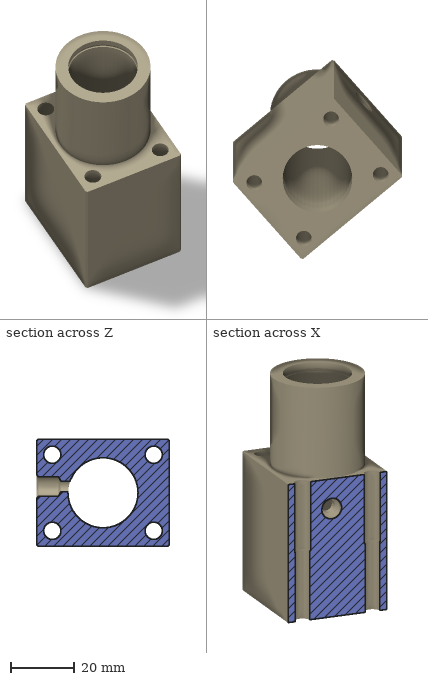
import cadquery as cq
import math

body_length = 42.0
body_width = 34.0
body_height = 46.0
corner_chamfer = 0.5

total_height = 76.0
tube_diameter = 30.0
bore_diameter = 22.0

groove_diameter = 23.0
groove_width = 1.1
groove_depth_below_rim = 2.0

mount_spacing_x = 32.0
mount_spacing_y = 24.0
mount_upper_diameter = 5.3
mount_lower_diameter = 4.95
mount_upper_depth = body_height / 2

port_y = 2.0
port_z = 36.0
port_mouth_diameter = 8.0
port_diameter = 6.6
port_passage_diameter = 4.3
port_depth = 7.0
port_mouth_chamfer = (port_mouth_diameter - port_diameter) / 2
port_cone_angle = 120.0
port_cone_length = (port_diameter - port_passage_diameter) / 2 / math.tan(math.radians(port_cone_angle / 2))


def make_housing():
    """Body with chamfered upright corners and the tube on top."""
    body = cq.Workplane("XY").box(body_length, body_width, body_height, centered=(True, True, False))
    body = body.edges("|Z").chamfer(corner_chamfer)
    tube = cq.Workplane("XY").circle(tube_diameter / 2).extrude(total_height)
    return body.union(tube)


def make_bore():
    """Through bore with the ring groove near the rim."""
    bore = cq.Workplane("XY").circle(bore_diameter / 2).extrude(total_height)
    groove_bottom = total_height - groove_depth_below_rim - groove_width
    groove = cq.Workplane("XY", origin=(0, 0, groove_bottom)).circle(groove_diameter / 2).extrude(groove_width)
    return bore.union(groove)


def make_mount_holes():
    """Stepped through holes, wider in the upper part of the body."""
    centres = cq.Workplane("XY").rect(mount_spacing_x, mount_spacing_y, forConstruction=True).vertices()
    lower = centres.circle(mount_lower_diameter / 2).extrude(body_height)
    upper = centres.circle(mount_upper_diameter / 2).extrude(mount_upper_depth)
    return lower.union(upper.translate((0, 0, body_height - mount_upper_depth)))


def make_port():
    """Port turned about its own axis: chamfer, straight bore, cone and passage ending on the part axis."""
    passage_end = body_length / 2
    return (
        cq.Workplane("XY")
        .moveTo(0, 0)
        .lineTo(0, port_mouth_diameter / 2)
        .lineTo(port_mouth_chamfer, port_diameter / 2)
        .lineTo(port_depth, port_diameter / 2)
        .lineTo(port_depth + port_cone_length, port_passage_diameter / 2)
        .lineTo(passage_end, port_passage_diameter / 2)
        .lineTo(passage_end, 0)
        .close()
        .revolve(360, (0, 0), (1, 0))
        .translate((-body_length / 2, port_y, port_z))
    )


result = make_housing().cut(make_bore()).cut(make_mount_holes()).cut(make_port())